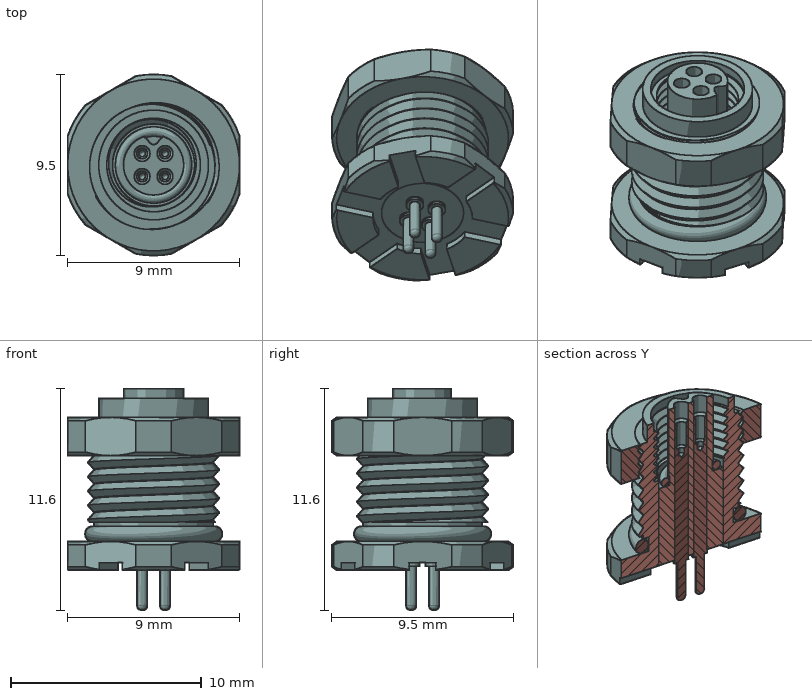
import cadquery as cq
import math

flange_top = 1.5
seal_top = 2.3
thread_bottom = 2.5
nut_bottom = 6.0
nut_top = 8.0
barrel_top = 9.0
insert_top = 9.5
pin_tip = -2.1

across_flats = 9.0
corner_radius = 4.75
collar_chamfer_height = 0.18
flat_count = 6

thread_radius = 3.45
thread_root_radius = 3.125
thread_pitch = 0.75
thread_crest_level = 7.514
nut_groove_level = 8.02

barrel_radius = 2.875
mouth_radius = 2.45
mouth_depth = 0.5
bore_radius = 2.15
bore_thread_pitch = 0.5
bore_groove_level = 8.325
cavity_radius = 2.6
slot_width = 1.4
slot_depth = 0.4
mouth_floor = barrel_top - mouth_depth
cavity_top = slot_depth

seal_section_radius = (seal_top - flange_top) / 2
seal_outer_radius = 3.6
seal_groove_radius = seal_outer_radius - 2 * seal_section_radius

insert_radius = 1.575
insert_seat = 5.0
inner_seal_outer_radius = 2.0
inner_seal_groove_radius = 1.5
inner_seal_section_radius = (inner_seal_outer_radius - inner_seal_groove_radius) / 2
inner_seal_top = insert_seat + 2 * inner_seal_section_radius
bore_thread_bottom = inner_seal_top
key_half_angle = math.radians(40)
key_round_radius = 0.25
key_bottom_y = 1.07
key_depth = insert_top - insert_seat

contact_spacing = 1.2
contact_radius = 0.4125
contact_top = 8.5
contact_collar_radius = 0.45
contact_collar_bottom = 0.2
pin_radius = 0.275
pin_tip_fillet = 0.25
socket_radius = 0.28
socket_entry_depth = contact_radius - socket_radius
socket_depth = 1.5
socket_tip_radius = 0.17
socket_tip_depth = 0.3

root_overlap = 0.015
base_width_ratio = 0.993
spare_turns = 1


def cylinder(radius, bottom, top):
    return cq.Workplane("XY").workplane(offset=bottom).circle(radius).extrude(top - bottom)


def ring_with_round_section(outer_radius, section_radius, bottom):
    centre_radius = outer_radius - section_radius
    section = cq.Workplane("XZ").center(centre_radius, bottom + section_radius).circle(section_radius)
    return section.revolve(360, (-centre_radius, 0, 0), (-centre_radius, 1, 0))


def threaded_rod(root_radius, crest_radius, pitch, crest_level, bottom, top):
    """Rod with a right-handed V thread that has a crest at crest_level on its +X side."""
    turns_below = math.ceil((crest_level - bottom) / pitch) + spare_turns
    turns_above = math.ceil((top - crest_level) / pitch) + spare_turns
    start = crest_level - turns_below * pitch
    length = (turns_below + turns_above) * pitch
    helix = cq.Wire.makeHelix(pitch, length, root_radius, cq.Vector(0, 0, start))
    half_base = base_width_ratio * pitch / 2
    inner_radius = root_radius - root_overlap
    profile = cq.Workplane("XZ").polyline(
        [(inner_radius, start - half_base), (crest_radius, start), (inner_radius, start + half_base)]
    ).close()
    ridge = profile.sweep(cq.Workplane(obj=helix), isFrenet=True)
    core = cylinder(root_radius, start - pitch, start + length + pitch)
    return core.union(ridge).intersect(cylinder(2 * crest_radius, bottom, top))


def hexagonal_collar(bottom, top):
    """Hexagon with flats on +X and -X, its corners turned to a cylinder and chamfered at both ends."""
    corner_diameter = across_flats / math.cos(math.pi / flat_count)
    hexagon = (
        cq.Workplane("XY").workplane(offset=bottom)
        .transformed(rotate=(0, 0, 180 / flat_count))
        .polygon(flat_count, corner_diameter)
        .extrude(top - bottom)
    )
    face_radius = across_flats / 2
    envelope = (
        cq.Workplane("XZ")
        .polyline([
            (0, bottom),
            (face_radius, bottom),
            (corner_radius, bottom + collar_chamfer_height),
            (corner_radius, top - collar_chamfer_height),
            (face_radius, top),
            (0, top),
        ])
        .close()
        .revolve()
    )
    return hexagon.intersect(envelope)


def build_housing():
    body = hexagonal_collar(0, flange_top)
    body = body.union(cylinder(seal_groove_radius, 0, seal_top))
    body = body.union(cylinder(thread_root_radius, seal_top, thread_bottom))
    body = body.union(
        threaded_rod(
            thread_root_radius, thread_radius, thread_pitch, thread_crest_level, thread_bottom, nut_top
        )
    )
    body = body.union(cylinder(barrel_radius, nut_top, barrel_top))
    body = body.cut(cylinder(bore_radius, 0, bore_thread_bottom))
    body = body.cut(
        threaded_rod(
            bore_radius, mouth_radius, bore_thread_pitch, bore_groove_level, bore_thread_bottom, mouth_floor
        )
    )
    body = body.cut(cylinder(mouth_radius, mouth_floor, barrel_top))
    body = body.cut(cylinder(cavity_radius, 0, cavity_top))
    for index in range(flat_count // 2):
        slot = cq.Workplane("XY").box(
            2 * corner_radius, slot_width, slot_depth, centered=(True, True, False)
        )
        body = body.cut(slot.rotate((0, 0, 0), (0, 0, 1), index * 360 / flat_count))
    return body


def build_nut(housing):
    """Nut whose thread groove leaves play around the housing thread."""
    hole = threaded_rod(
        thread_root_radius, thread_radius, thread_pitch, nut_groove_level, nut_bottom, nut_top
    )
    return hexagonal_collar(nut_bottom, nut_top).cut(hole).cut(housing)


def contact_points():
    return cq.Workplane("XY").rect(contact_spacing, contact_spacing, forConstruction=True).vertices().vals()


def build_insert():
    body = cylinder(bore_radius, cavity_top, insert_seat)
    body = body.union(cylinder(inner_seal_groove_radius, insert_seat, inner_seal_top))
    body = body.union(cylinder(insert_radius, inner_seal_top, insert_top))
    for point in contact_points():
        body = body.cut(cylinder(contact_radius, cavity_top, insert_top).translate((point.X, point.Y, 0)))
    return body.cut(key_notch())


def key_notch():
    """V notch with a rounded bottom, open towards +Y."""
    round_centre_y = key_bottom_y + key_round_radius
    tangent_x = key_round_radius * math.cos(key_half_angle)
    tangent_y = round_centre_y - key_round_radius * math.sin(key_half_angle)
    outer_y = 2 * insert_radius
    outer_x = tangent_x + (outer_y - tangent_y) * math.tan(key_half_angle)
    return (
        cq.Workplane("XY").workplane(offset=insert_top - key_depth)
        .moveTo(-outer_x, outer_y)
        .lineTo(-tangent_x, tangent_y)
        .threePointArc((0, key_bottom_y), (tangent_x, tangent_y))
        .lineTo(outer_x, outer_y)
        .close()
        .extrude(key_depth)
    )


def build_contact(x, y):
    """Solder pin below; above it a socket with a tapered entry, a narrower tip and a conical bottom."""
    taper_top = contact_top - socket_depth
    taper_bottom = taper_top - (socket_radius - socket_tip_radius)
    cone_top = taper_bottom - socket_tip_depth
    section = (
        cq.Workplane("XZ")
        .moveTo(0, pin_tip)
        .lineTo(pin_radius - pin_tip_fillet, pin_tip)
        .radiusArc((pin_radius, pin_tip + pin_tip_fillet), -pin_tip_fillet)
        .lineTo(pin_radius, contact_collar_bottom)
        .lineTo(contact_collar_radius, contact_collar_bottom)
        .lineTo(contact_collar_radius, cavity_top)
        .lineTo(contact_radius, cavity_top)
        .lineTo(contact_radius, contact_top)
        .lineTo(socket_radius, contact_top - socket_entry_depth)
        .lineTo(socket_radius, taper_top)
        .lineTo(socket_tip_radius, taper_bottom)
        .lineTo(socket_tip_radius, cone_top)
        .lineTo(0, cone_top - socket_tip_radius)
        .close()
    )
    return section.revolve(360, (0, 0, 0), (0, 1, 0)).translate((x, y, 0))


housing = build_housing()
nut = build_nut(housing)
flange_seal = ring_with_round_section(seal_outer_radius, seal_section_radius, flange_top)
insert = build_insert()
inner_seal = ring_with_round_section(inner_seal_outer_radius, inner_seal_section_radius, insert_seat)
contacts = [build_contact(point.X, point.Y) for point in contact_points()]

result = cq.Compound.makeCompound(
    [housing.val(), nut.val(), flange_seal.val(), insert.val(), inner_seal.val()]
    + [contact.val() for contact in contacts]
)